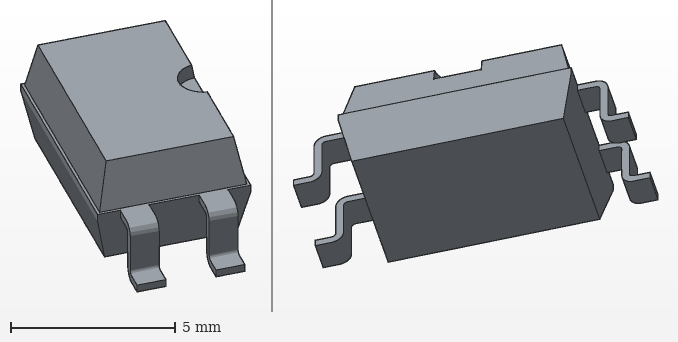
import cadquery as cq

body_length = 7.36
body_width = 4.93
body_bottom = 0.11
total_height = 3.6
step_inset = 0.1
top_inset = 0.41
bottom_inset = 0.34

lead_span = 10.57
lead_thickness = 0.25
lead_width = 0.93
lead_pitch = 2.54
lead_top = 1.98
foot_reach = 0.65
inner_bend = 0.13
outer_bend = inner_bend + lead_thickness
lead_embed = 0.11

notch_radius = 0.75
notch_depth = 0.5
notch_center_inset = 0.33

band_bottom = lead_top - lead_thickness


def tapered_block(start_z, start_inset, end_z, end_inset):
    """Four-sided block between two rectangles inset from the band outline."""
    return (
        cq.Workplane("XY", origin=(0, 0, start_z))
        .rect(body_length - 2 * start_inset, body_width - 2 * start_inset)
        .workplane(offset=end_z - start_z)
        .rect(body_length - 2 * end_inset, body_width - 2 * end_inset)
        .loft(ruled=True)
    )


def make_body():
    lower = tapered_block(body_bottom, bottom_inset, band_bottom, 0)
    band = (
        cq.Workplane("XY", origin=(0, 0, band_bottom))
        .rect(body_length, body_width)
        .extrude(lead_thickness)
    )
    upper = tapered_block(lead_top, step_inset, total_height, top_inset)
    notch = (
        cq.Workplane("XY", origin=(0, 0, total_height - notch_depth))
        .center(0, body_width / 2 - notch_center_inset)
        .circle(notch_radius)
        .extrude(notch_depth)
    )
    return lower.union(band).union(upper.cut(notch))


def make_lead(center_y):
    """Lead on the -X side: foot, upright and arm joined by round bends."""
    tip_x = -lead_span / 2
    outer_x = tip_x + foot_reach
    inner_x = outer_x + lead_thickness
    end_x = -body_length / 2 + lead_embed
    return (
        cq.Workplane("XZ", origin=(0, center_y, 0))
        .moveTo(tip_x, 0)
        .lineTo(inner_x - outer_bend, 0)
        .radiusArc((inner_x, outer_bend), -outer_bend)
        .lineTo(inner_x, band_bottom - inner_bend)
        .radiusArc((inner_x + inner_bend, band_bottom), inner_bend)
        .lineTo(end_x, band_bottom)
        .lineTo(end_x, lead_top)
        .lineTo(outer_x + outer_bend, lead_top)
        .radiusArc((outer_x, lead_top - outer_bend), -outer_bend)
        .lineTo(outer_x, lead_thickness + inner_bend)
        .radiusArc((outer_x - inner_bend, lead_thickness), inner_bend)
        .lineTo(tip_x, lead_thickness)
        .close()
        .extrude(lead_width / 2, both=True)
    )


result = make_body()
for center_y in (-lead_pitch / 2, lead_pitch / 2):
    lead = make_lead(center_y)
    result = result.union(lead).union(lead.mirror("YZ"))